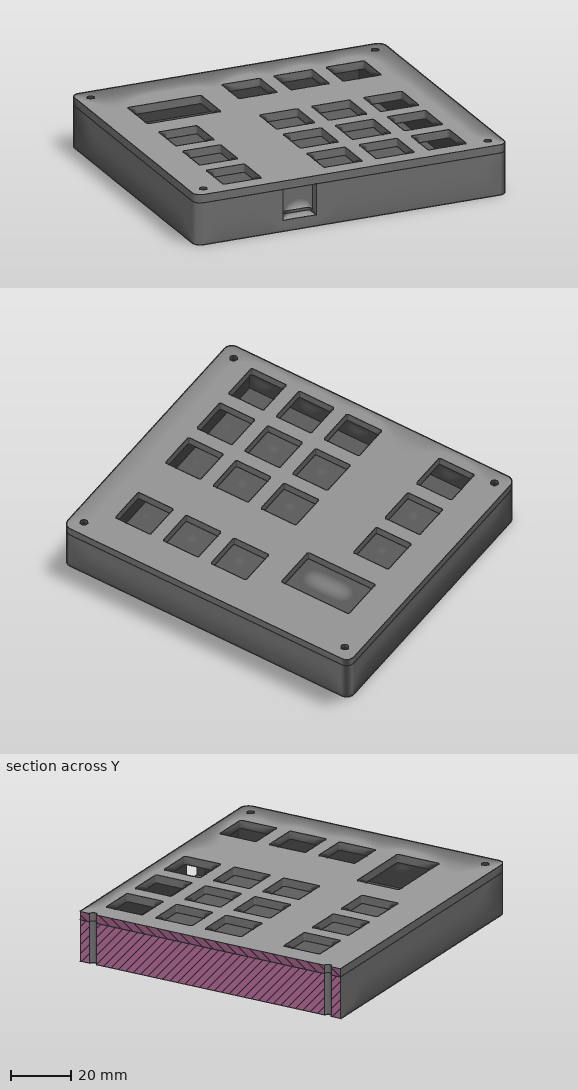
import cadquery as cq

width = 100.2
length = 113.8
total_height = 18.0
plate_thickness = 3.0
corner_radius = 3.0
housing_height = total_height - plate_thickness

screw_diameter = 2.5
screw_inset = 5.0

key_size = 14.0
key_pitch = 19.0
window_radius = 0.6
grid_center_x = 18.5
grid_center_y = 18.4
left_column_x = -30.6
bottom_row_y = -37.3

display_width = 16.2
display_length = 26.8
display_x = -23.7
display_y = -31.2

side_wall = 3.1
end_wall = 10.0
floor_thickness = 4.9

slot_width = 12.1
slot_y = -19.0
slot_floor = 4.0
slot_reach = 5.2
slot_radius = 0.8


def rounded_block(size_x, size_y, height, radius):
    """Block standing on Z = 0, with rounded vertical edges."""
    block = cq.Workplane("XY").box(size_x, size_y, height, centered=(True, True, False))
    return block.edges("|Z").fillet(radius)


def screw_holes(height):
    """Four cylinders at the corners, standing on Z = 0."""
    spacing_x = width - 2 * screw_inset
    spacing_y = length - 2 * screw_inset
    holes = cq.Workplane("XY").rect(spacing_x, spacing_y, forConstruction=True).vertices()
    return holes.circle(screw_diameter / 2).extrude(height)


def key_centers():
    """Three by three grid, a column to its left and a row below it."""
    steps = (-key_pitch, 0, key_pitch)
    grid_columns = [grid_center_x + step for step in steps]
    grid_rows = [grid_center_y + step for step in steps]
    keys = [(x, y) for x in grid_columns for y in grid_rows]
    keys += [(left_column_x, y) for y in grid_rows]
    keys += [(x, bottom_row_y) for x in grid_columns]
    return keys


def make_plate():
    plate = rounded_block(width, length, plate_thickness, corner_radius)
    plate = plate.cut(screw_holes(plate_thickness))
    key_window = rounded_block(key_size, key_size, plate_thickness, window_radius)
    for x, y in key_centers():
        plate = plate.cut(key_window.translate((x, y, 0)))
    display_window = rounded_block(display_width, display_length, plate_thickness, window_radius)
    plate = plate.cut(display_window.translate((display_x, display_y, 0)))
    return plate.translate((0, 0, housing_height))


def connector_slot():
    """Slot open at the top and at the +X side, with rounded inner corners."""
    slot = cq.Workplane("XY").box(
        slot_reach, slot_width, housing_height - slot_floor, centered=(False, True, False)
    )
    slot = slot.edges("|Z and <X").fillet(slot_radius)
    return slot.translate((width / 2 - slot_reach, slot_y, slot_floor))


def make_housing():
    housing = rounded_block(width, length, housing_height, corner_radius)
    cavity = cq.Workplane("XY").box(
        width - 2 * side_wall,
        length - 2 * end_wall,
        housing_height - floor_thickness,
        centered=(True, True, False),
    )
    housing = housing.cut(cavity.translate((0, 0, floor_thickness)))
    housing = housing.cut(connector_slot())
    return housing.cut(screw_holes(housing_height))


housing = make_housing()
plate = make_plate()

result = cq.Compound.makeCompound([housing.val(), plate.val()])